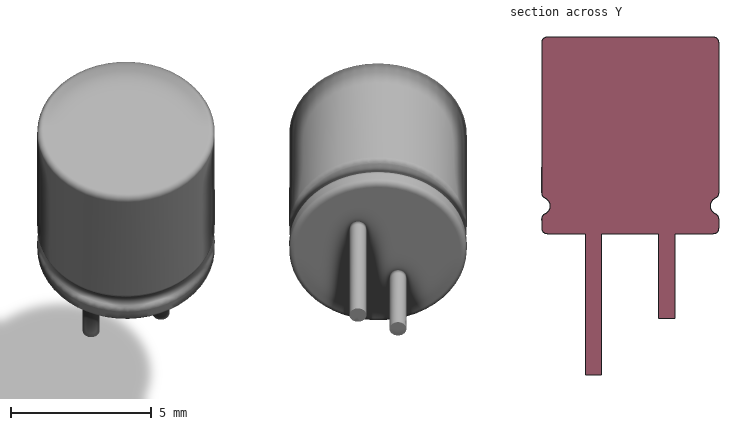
import cadquery as cq

total_height = 12.01
can_diameter = 6.3
can_height = 7.0

rim_radius = 0.2
groove_radius = 0.3
groove_height = 1.0

lead_diameter = 0.6
lead_spacing = 2.61
short_lead_length = 3.0
long_lead_length = total_height - can_height

can_radius = can_diameter / 2


def make_can():
    """Round can with its base at Z = 0, a rounded crimp groove and rounded rims."""
    can = cq.Workplane("XY").circle(can_radius).extrude(can_height)
    groove = (
        cq.Workplane("XZ")
        .center(can_radius, groove_height)
        .circle(groove_radius)
        .revolve(360, (-can_radius, 0), (-can_radius, 1))
    )
    return can.cut(groove).edges("%CIRCLE").fillet(rim_radius)


def make_lead(x, length):
    """Straight round lead hanging from the base of the can."""
    return cq.Workplane("XY").center(x, 0).circle(lead_diameter / 2).extrude(-length)


result = (
    make_can()
    .union(make_lead(-lead_spacing / 2, long_lead_length))
    .union(make_lead(lead_spacing / 2, short_lead_length))
)